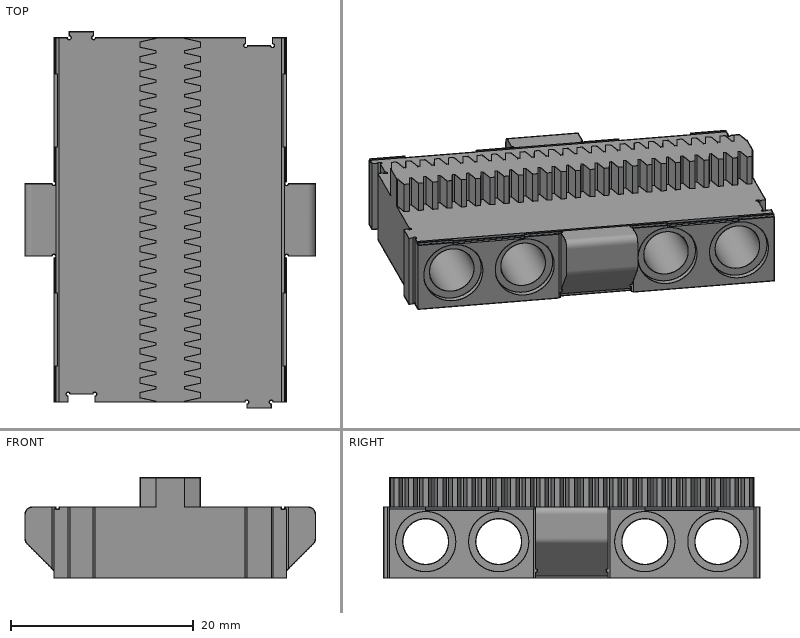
import cadquery as cq

body_length = 39.9
body_width = 25.45
body_height = 7.8
half_length = body_length / 2
half_width = body_width / 2

rack_height = 3.2
tooth_count = 25
tooth_pitch = 1.6
tip_half_width = 3.3
root_half_width = 1.55
tip_land = 0.58
root_gap = 0.25

lug_length = 7.95
lug_reach = 15.9
lug_corner_z = 4.0
lug_fillet = 0.82

hole_spacing = 8.0
hole_diameter = 5.0
counterbore_diameter = 6.6
counterbore_depth = 0.82
hole_z = 4.0

tab_center_x = 9.72
tab_width = 2.68
tab_reach = 0.65
notch_width = 2.93
notch_depth = 0.85
relief_radius = 0.2

wall_x = 12.15
rib_inner_x = 12.5
rib_outer_x = 12.6
groove_depth = 0.25
slot_width = 0.4
slot_depth = 0.4


def box(x_min, x_max, y_min, y_max, z_min, z_max):
    return (
        cq.Workplane("XY")
        .box(x_max - x_min, y_max - y_min, z_max - z_min, centered=False)
        .translate((x_min, y_min, z_min))
    )


def both_ends(shape):
    """The shape together with its copy turned half a turn about Z."""
    return shape.union(shape.rotate((0, 0, 0), (0, 0, 1), 180))


def both_sides(shape):
    """The shape together with its mirror image across the YZ plane."""
    return shape.union(shape.mirror("YZ"))


def reliefs(points):
    """Round corner reliefs running the full height of the body."""
    return cq.Workplane("XY").pushPoints(points).circle(relief_radius).extrude(body_height)


def rack():
    """Double-sided rack with a tooth centred on Y = 0."""
    right_edge = []
    for index in range(tooth_count):
        tooth_y = (index - (tooth_count - 1) / 2) * tooth_pitch
        root_offset = (tooth_pitch - root_gap) / 2
        right_edge += [
            (root_half_width, tooth_y - root_offset),
            (tip_half_width, tooth_y - tip_land / 2),
            (tip_half_width, tooth_y + tip_land / 2),
            (root_half_width, tooth_y + root_offset),
        ]
    left_edge = [(-x, y) for x, y in reversed(right_edge)]
    teeth = cq.Workplane("XY").polyline(right_edge + left_edge).close().extrude(rack_height)
    core = box(-root_half_width, root_half_width, -half_length, half_length, 0, rack_height)
    return teeth.union(core).translate((0, 0, body_height))


def lug():
    """Side lug with a 45 degree underside, on the +X side."""
    inner_z = lug_corner_z - (lug_reach - rib_inner_x)
    profile = [
        (rib_inner_x, body_height),
        (lug_reach, body_height),
        (lug_reach, lug_corner_z),
        (rib_inner_x, inner_z),
    ]
    return (
        cq.Workplane("XZ")
        .polyline(profile)
        .close()
        .extrude(lug_length / 2, both=True)
        .edges("|Y and >X")
        .fillet(lug_fillet)
    )


def lug_undercut():
    """Removes the body below the lug, down its 45 degree underside to the side wall."""
    top_z = lug_corner_z - (lug_reach - wall_x)
    profile = [(wall_x, 0), (lug_reach, 0), (lug_reach, lug_corner_z), (wall_x, top_z)]
    return cq.Workplane("XZ").polyline(profile).close().extrude(lug_length / 2, both=True)


def lug_reliefs():
    return reliefs([(half_width, lug_length / 2), (half_width, -lug_length / 2)])


def edge_cuts():
    """Groove and outer step that leave a thin rib, and a slot between each pair of holes."""
    groove_z = body_height - groove_depth
    groove = box(wall_x, rib_inner_x, -half_length, half_length, groove_z, body_height)
    step = box(rib_outer_x, half_width, -half_length, half_length, groove_z, body_height)
    cuts = groove.union(step)
    for y_start in (hole_spacing, -2 * hole_spacing):
        slot = box(
            half_width - slot_width, half_width, y_start, y_start + hole_spacing,
            body_height - slot_depth, body_height,
        )
        cuts = cuts.union(slot)
    return cuts


def cross_holes():
    """Holes through the full width, counterbored from both sides."""
    centers = [(step * hole_spacing, hole_z) for step in (-2, -1, 1, 2)]
    bores = (
        cq.Workplane("YZ")
        .pushPoints(centers)
        .circle(hole_diameter / 2)
        .extrude(half_width, both=True)
    )
    counterbores = (
        cq.Workplane("YZ", origin=(half_width - counterbore_depth, 0, 0))
        .pushPoints(centers)
        .circle(counterbore_diameter / 2)
        .extrude(counterbore_depth)
    )
    return bores.union(both_sides(counterbores))


def end_tab():
    """Tab on the -Y end."""
    return box(
        tab_center_x - tab_width / 2, tab_center_x + tab_width / 2,
        -half_length - tab_reach, -half_length, 0, body_height,
    )


def end_notch():
    """Notch in the -Y end, with relieved corners for it and for the tab beside it."""
    left_x = -tab_center_x - notch_width / 2
    right_x = -tab_center_x + notch_width / 2
    floor_y = -half_length + notch_depth
    notch = box(left_x, right_x, -half_length, floor_y, 0, body_height)
    tab_corners = [(tab_center_x + side * tab_width / 2, -half_length) for side in (-1, 1)]
    return notch.union(reliefs([(left_x, floor_y), (right_x, floor_y)] + tab_corners))


body = box(-half_width, half_width, -half_length, half_length, 0, body_height)
body = body.cut(both_sides(edge_cuts())).cut(both_sides(lug_undercut()))
body = body.union(both_sides(lug())).union(both_ends(end_tab()))
body = body.cut(both_sides(lug_reliefs())).cut(both_ends(end_notch()))
body = body.cut(cross_holes())

result = body.union(rack())